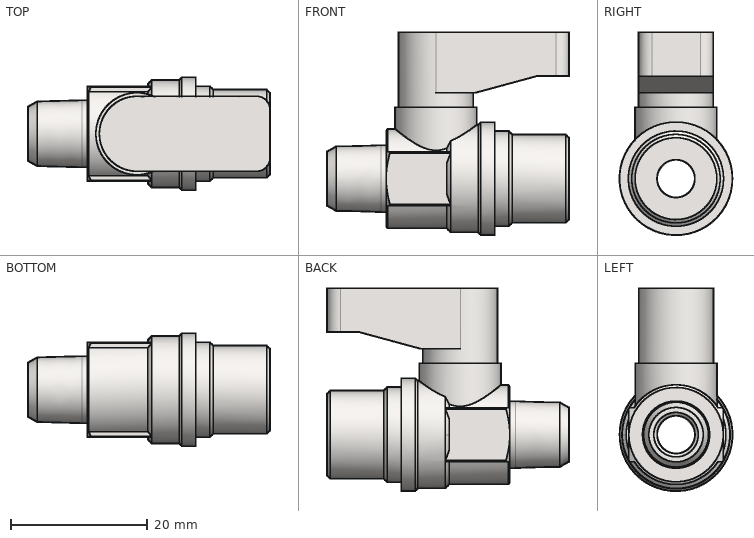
import cadquery as cq
import math


total_length = 35.5
inlet_chamfer_end = 1.35
taper_end = 7.9
block_start = 8.65
collar_start = 17.57
flange_start = 22.22
flange_end = 24.65
stem_x = 15.98

bore_diameter = 5.5
bore_mouth_diameter = 6.53
inlet_tip_diameter = 8.0
taper_small_diameter = 9.5
inlet_diameter = 9.87
block_diameter = 14.63
collar_diameter = 15.8
flange_diameter = 16.6
shoulder_diameter = 14.0
outlet_diameter = 13.0
collar_bevel = (collar_diameter - block_diameter) / 2

flats_width = 13.9
flats_height = 7.95
block_face_diameter = 13.85
block_chamfer_angle = 60.0

neck_diameter = 12.05
neck_top = 10.47
handle_width = 11.0
grip_hub_bottom = 12.55
grip_tip_bottom = 15.05
handle_top = 21.48
slope_start = 21.73
slope_end = 30.9
tip_corner_radius = 1.95

flange_chamfer = 0.35
shoulder_end = 27.15
outlet_chamfer = 0.5


def revolve_profile(points):
    """Revolve a closed outline of (x, radius) points about the X axis."""
    return cq.Workplane("XY").polyline(points).close().revolve(360, (0, 0, 0), (1, 0, 0))


def rod(diameter, start, end):
    """Solid cylinder along the X axis between two positions."""
    return cq.Workplane("YZ", origin=(start, 0, 0)).circle(diameter / 2).extrude(end - start)


def bore(start, end):
    return rod(bore_diameter, start, end)


def inlet_spigot():
    """Tapered inlet spigot with a conical tip."""
    return revolve_profile([
        (0, 0),
        (0, inlet_tip_diameter / 2),
        (inlet_chamfer_end, taper_small_diameter / 2),
        (taper_end, inlet_diameter / 2),
        (block_start, inlet_diameter / 2),
        (block_start, 0),
    ])


def side_block(start, end, height):
    """Block of the wrench flats' width, centred on the flow axis."""
    block = cq.Workplane("XY").box(end - start, flats_width, height, centered=(False, True, True))
    return block.translate((start, 0, 0))


def wrench_block():
    """Round barrel with a wrench flat on each side, bevelled by one cone at the inlet face."""
    barrel = rod(block_diameter, block_start, collar_start)
    barrel = barrel.intersect(side_block(block_start, collar_start, block_diameter))
    flats = side_block(block_start, collar_start + collar_bevel, flats_height)

    radius_rise = (collar_diameter - block_face_diameter) / 2
    chamfer_length = radius_rise / math.tan(math.radians(block_chamfer_angle))
    envelope = revolve_profile([
        (block_start, 0),
        (block_start, block_face_diameter / 2),
        (block_start + chamfer_length, collar_diameter / 2),
        (collar_start + collar_bevel, collar_diameter / 2),
        (collar_start + collar_bevel, 0),
    ])
    return barrel.union(flats).intersect(envelope)


def collar():
    """Round collar bevelled at 45 degrees down to the barrel."""
    return rod(collar_diameter, collar_start, flange_start).faces("<X").chamfer(collar_bevel)


def make_housing():
    """Valve housing: inlet spigot, wrench block, collar and stem neck."""
    neck = cq.Workplane("XY").center(stem_x, 0).circle(neck_diameter / 2).extrude(neck_top)
    housing = inlet_spigot().union(wrench_block()).union(collar()).union(neck)
    housing = housing.cut(bore(0, flange_start))
    mouth_depth = (bore_mouth_diameter - bore_diameter) / 2
    mouth = revolve_profile([
        (0, 0),
        (0, bore_mouth_diameter / 2),
        (mouth_depth, bore_diameter / 2),
        (mouth_depth, 0),
    ])
    return housing.cut(mouth)


def make_connector():
    """Outlet connector: flange, bevelled shoulder and outlet spigot."""
    flange = rod(flange_diameter, flange_start, flange_end).faces("<X").chamfer(flange_chamfer)
    shoulder_bevel = (shoulder_diameter - outlet_diameter) / 2
    shoulder = rod(shoulder_diameter, flange_end, shoulder_end).faces(">X").chamfer(shoulder_bevel)
    spigot = rod(outlet_diameter, shoulder_end, total_length).faces(">X").chamfer(outlet_chamfer)
    connector = flange.union(shoulder).union(spigot)
    return connector.cut(bore(flange_start, total_length))


def make_handle():
    """Lever handle: a round hub standing on the neck and a grip towards the outlet."""
    hub_radius = handle_width / 2
    hub = (
        cq.Workplane("XY", origin=(stem_x, 0, neck_top))
        .circle(hub_radius)
        .extrude(handle_top - neck_top)
    )
    grip = (
        cq.Workplane("XZ")
        .moveTo(stem_x, handle_top)
        .lineTo(stem_x, grip_hub_bottom)
        .lineTo(slope_start, grip_hub_bottom)
        .lineTo(slope_end, grip_tip_bottom)
        .lineTo(total_length, grip_tip_bottom)
        .lineTo(total_length, handle_top)
        .close()
        .extrude(hub_radius, both=True)
        .edges("|Z and >X")
        .fillet(tip_corner_radius)
    )
    return hub.union(grip)


housing = make_housing()
connector = make_connector()
handle = make_handle()

result = cq.Compound.makeCompound([housing.val(), connector.val(), handle.val()])